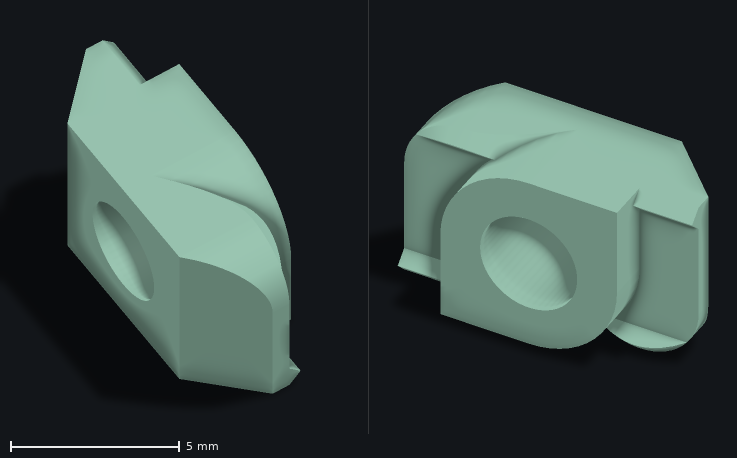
import cadquery as cq

length = 10.0
height = 6.0
depth = 4.0
wing_depth = 2.6
wing_chamfer = 2.0
wing_corner_radius = 2.0
boss_width = 6.0
boss_corner_radius = 3.0
ridge_height = 0.4
hole_diameter = 3.3

half_length = length / 2
half_height = height / 2
ridge_width = 2 * ridge_height


def rounded_prism(width, thickness, radius):
    """Block from Y = 0 with its upper right and lower left corners rounded."""
    half_width = width / 2
    mid = radius * (1 - 0.5 ** 0.5)
    return (
        cq.Workplane("XZ")
        .moveTo(-half_width, half_height)
        .lineTo(half_width - radius, half_height)
        .threePointArc((half_width - mid, half_height - mid), (half_width, half_height - radius))
        .lineTo(half_width, -half_height)
        .lineTo(radius - half_width, -half_height)
        .threePointArc((mid - half_width, mid - half_height), (-half_width, radius - half_height))
        .close()
        .extrude(-thickness)
    )


def half_turn(shape):
    """The same shape turned 180 degrees about the hole axis."""
    return shape.rotate((0, 0, 0), (0, 1, 0), 180)


def wing_plate():
    """Plate whose ends slope back at 45 degrees from the front face."""
    outline = rounded_prism(length, depth, wing_corner_radius)
    side_profile = (
        cq.Workplane("XY", origin=(0, 0, -half_height))
        .polyline([
            (half_length - wing_chamfer, 0),
            (half_length, wing_chamfer),
            (half_length, wing_depth),
            (-half_length, wing_depth),
            (-half_length, wing_chamfer),
            (wing_chamfer - half_length, 0),
        ])
        .close()
        .extrude(height)
    )
    upper_ridge = ridge()
    return side_profile.union(upper_ridge).union(half_turn(upper_ridge)).intersect(outline)


def ridge():
    """V-shaped gripping ridge along the upper edge of the wings' back faces."""
    return (
        cq.Workplane("YZ", origin=(-half_length, 0, 0))
        .polyline([
            (wing_depth, half_height),
            (wing_depth + ridge_height, half_height - ridge_height),
            (wing_depth, half_height - ridge_width),
        ])
        .close()
        .extrude(length)
    )


def corner_bevel():
    """Material outside a 45 degree cone centred on the upper right wing corner."""
    center_x = half_length - wing_corner_radius
    center_z = half_height - wing_corner_radius
    cone_height = wing_depth + wing_corner_radius
    cone = cq.Workplane(
        cq.Solid.makeCone(
            cone_height, 0, cone_height, cq.Vector(center_x, 0, center_z), cq.Vector(0, 1, 0)
        )
    )
    quadrant = cq.Workplane("XY").box(
        half_length, depth, half_height - center_z, centered=False
    ).translate((0, 0, center_z))
    return quadrant.cut(cone)


bevel = corner_bevel()
wings = wing_plate().cut(bevel).cut(half_turn(bevel))

boss = rounded_prism(boss_width, depth, boss_corner_radius)
hole = cq.Workplane("XZ").circle(hole_diameter / 2).extrude(-depth)

result = wings.union(boss).cut(hole)